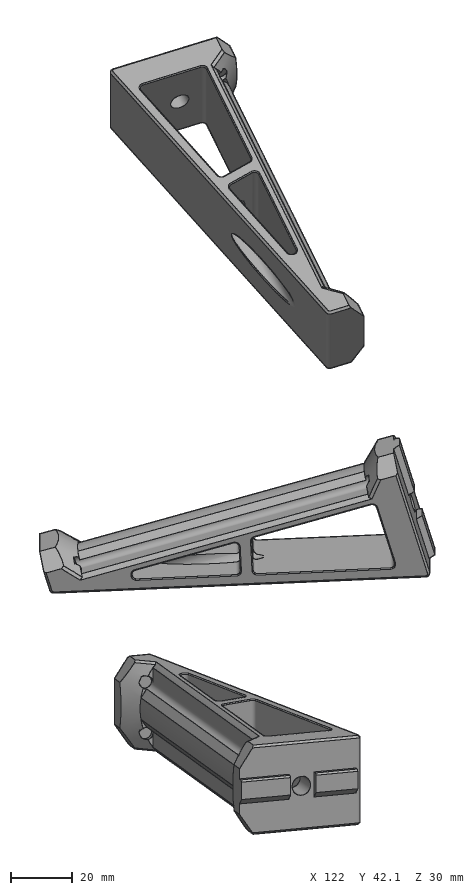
import cadquery as cq
import math

length = 122.0
depth = 42.1
height = 30.0
half_height = height / 2

rail_depth = 2.0
body_left = rail_depth
slant_angle = math.radians(14)
slant_slope = math.tan(slant_angle)
corner_radius = 1.5
rim_chamfer = 0.7

lip_chamfer_y = 5.0
lip_chamfer_z = 7.3

cradle_radius = 22.2
cradle_drop = 4.8
cradle_inset = 11.5
flare_slope = 0.95
cradle_left = body_left + cradle_inset
cradle_right = length - cradle_inset
cradle_axis_y = -cradle_drop - cradle_radius

rod_diameter = 4.3
rod_radius = rod_diameter / 2
rod_y = -7.1
rod_z = 8.5
rod_hole_depth = 1.5
ridge_y = -4.6
ridge_z = 3.0

window_left = 12.0
window_top = -12.6
window_right = 94.8
slant_wall = 3.9
web_width = 4.1
web_top_x = 53.9
window_radius = 1.5
window_chamfer = 0.4

bolt_diameter = 6.3
access_diameter = 8.5
access_chamfer = 0.4
bolt_y = -21.4

rail_top = 4.3
rail_bottom = -4.1
rail_top_chamfer = 0.6
rail_spans = [(-17.0, 0.0), (-40.1, -25.7)]


def slant_y(x, inset=0.0):
    """Y of the slanted face, or of a line parallel to it and `inset` inside the body."""
    tangent_y = -depth + corner_radius - corner_radius / math.cos(slant_angle)
    return tangent_y + (x - body_left - corner_radius) * slant_slope + inset / math.cos(slant_angle)


def prism(points):
    """A full-height prism over an outline in the XY plane."""
    return cq.Workplane("XY").workplane(offset=-half_height).polyline(points).close().extrude(height)


def x_cylinder(diameter, x_start, x_end, y, z=0.0):
    """A cylinder parallel to X."""
    cylinder = cq.Workplane("YZ").center(y, z).circle(diameter / 2).extrude(x_end - x_start)
    return cylinder.translate((x_start, 0, 0))


def make_body():
    body = prism([
        (body_left, 0),
        (body_left, slant_y(body_left)),
        (length, slant_y(length)),
        (length, 0),
    ])
    body = body.edges("|Z and (not >Y)").fillet(corner_radius)
    for side in (">Z", "<Z"):
        body = body.faces(side).edges("not >Y").chamfer(rim_chamfer)
    for side in (1, -1):
        corner = cq.Workplane("YZ").polyline([
            (0, side * half_height),
            (-lip_chamfer_y, side * half_height),
            (0, side * (half_height - lip_chamfer_z)),
        ]).close().extrude(length)
        body = body.cut(corner)
    return body


def make_cradle_envelope():
    flare = cradle_inset * flare_slope
    profile = [
        (0, 0),
        (0, cradle_radius + cradle_left * flare_slope),
        (cradle_left, cradle_radius),
        (cradle_right, cradle_radius),
        (length, cradle_radius + flare),
        (length, 0),
    ]
    envelope = cq.Workplane("XY").polyline(profile).close().revolve(360, (0, 0, 0), (1, 0, 0))
    return envelope.translate((0, cradle_axis_y, 0))


def make_windows():
    def web_x(y, offset):
        return web_top_x + offset / math.cos(slant_angle) - (y - window_top) * slant_slope

    def web_foot(offset):
        """Where a side of the web meets the inner side of the slanted wall."""
        top_x = web_x(window_top, offset)
        y = (slant_y(top_x, slant_wall) + window_top * slant_slope**2) / (1 + slant_slope**2)
        return web_x(y, offset), y

    left = prism([
        (window_left, window_top),
        (window_left, slant_y(window_left, slant_wall)),
        web_foot(0),
        (web_x(window_top, 0), window_top),
    ])
    right = prism([
        (web_x(window_top, web_width), window_top),
        web_foot(web_width),
        (window_right, slant_y(window_right, slant_wall)),
        (window_right, window_top),
    ])
    return [window.edges("|Z").fillet(window_radius) for window in (left, right)]


def make_rail(y_start, y_end):
    profile = [
        (0, rail_top - rail_top_chamfer),
        (rail_top_chamfer, rail_top),
        (rail_depth, rail_top),
        (rail_depth, rail_bottom),
        (0, rail_bottom + rail_depth),
    ]
    rail = cq.Workplane("XZ").polyline(profile).close().extrude(y_end - y_start)
    return rail.translate((0, y_end, 0))


def make_rod_seat(side):
    """A recess open away from the mid-plane, with a rounded floor and a slope up to the ridge."""
    floor_z = rod_z - rod_radius
    wall_y = rod_y - rod_radius
    round_y = rod_y - rod_radius * math.sin(math.pi / 4)
    round_z = rod_z - rod_radius * math.cos(math.pi / 4)
    seat = (
        cq.Workplane("YZ")
        .moveTo(ridge_y, side * ridge_z)
        .lineTo(rod_y, side * floor_z)
        .threePointArc((round_y, side * round_z), (wall_y, side * rod_z))
        .lineTo(wall_y, side * half_height)
        .lineTo(ridge_y, side * half_height)
        .close()
        .extrude(cradle_right - cradle_left)
        .translate((cradle_left, 0, 0))
    )
    hole = x_cylinder(rod_diameter, cradle_left - rod_hole_depth, cradle_right + rod_hole_depth,
                      rod_y, side * rod_z)
    return seat.union(hole)


def chamfer_openings(part, face_selector, size):
    """Chamfer the rim of every opening in one face."""
    face = part.faces(face_selector)
    rims = [edge for wire in face.val().innerWires() for edge in wire.Edges()]
    return face.newObject(rims).chamfer(size)


result = make_body().intersect(make_cradle_envelope())

for flat_side in (">Z", "<Z"):
    result = result.faces(flat_side).edges("%HYPERBOLA").chamfer(rim_chamfer)

for side in (1, -1):
    result = result.cut(make_rod_seat(side))

for window in make_windows():
    result = result.cut(window)
for flat_side in (">Z", "<Z"):
    result = chamfer_openings(result, flat_side, window_chamfer)

result = result.cut(x_cylinder(bolt_diameter, 0, window_left, bolt_y))
result = result.cut(x_cylinder(access_diameter, window_left, length, bolt_y))
slant_direction = f">({math.sin(slant_angle)}, {-math.cos(slant_angle)}, 0)"
result = chamfer_openings(result, slant_direction, access_chamfer)

for span in rail_spans:
    result = result.union(make_rail(*span))